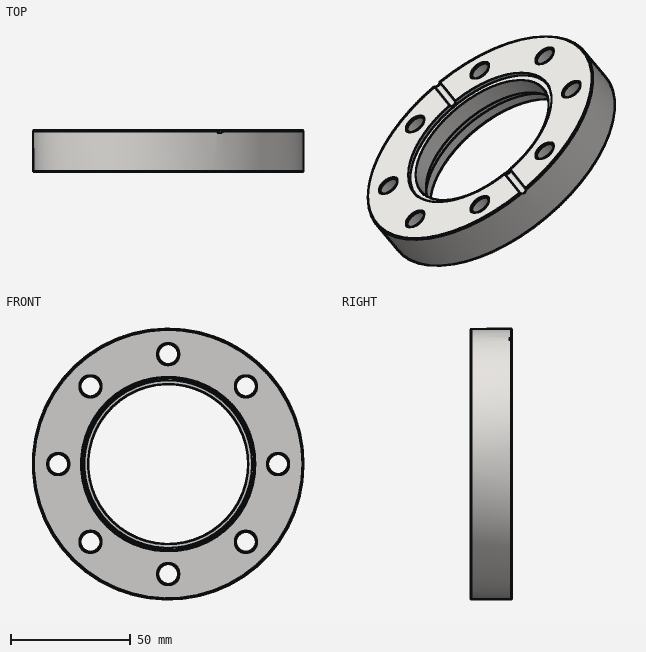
import cadquery as cq
import math

flange_diameter = 113.5
thickness = 17.5
edge_chamfer = 0.5
front_y = -thickness / 2
back_y = thickness / 2

opening_radius = 36.1
opening_chamfer = 0.5
recess_depth = 5.1

counterbore_radius = 35.2
counterbore_depth = 2.8
back_recess_depth = 1.7
bore_radius = 33.5

bolt_count = 8
bolt_circle_radius = 46.1
bolt_hole_radius = 4.2
bolt_hole_chamfer = 0.5

groove_width = 3.0
groove_depth = 1.1
groove_angle = 90 - 180 / bolt_count


def cylinder(radius, start_y, length):
    """Solid cylinder along +Y, starting at start_y."""
    return cq.Workplane("XZ", origin=(0, start_y, 0)).circle(radius).extrude(-length)


def make_bolt_hole(angle):
    """Cutter for one through hole with both rims chamfered."""
    rim_radius = bolt_hole_radius + bolt_hole_chamfer
    profile = (
        cq.Workplane("XY")
        .moveTo(0, front_y)
        .lineTo(rim_radius, front_y)
        .lineTo(bolt_hole_radius, front_y + bolt_hole_chamfer)
        .lineTo(bolt_hole_radius, back_y - bolt_hole_chamfer)
        .lineTo(rim_radius, back_y)
        .lineTo(0, back_y)
        .close()
    )
    hole = profile.revolve(360, (0, 0, 0), (0, 1, 0))
    x = bolt_circle_radius * math.cos(math.radians(angle))
    z = bolt_circle_radius * math.sin(math.radians(angle))
    return hole.translate((x, 0, z))


def make_groove():
    """Cutter for a round-bottomed groove running across the whole back face."""
    half_width = groove_width / 2
    return (
        cq.Workplane("YZ")
        .moveTo(back_y, -half_width)
        .threePointArc((back_y - groove_depth, 0), (back_y, half_width))
        .close()
        .extrude(flange_diameter / 2, both=True)
        .rotate((0, 0, 0), (0, 1, 0), -groove_angle)
    )


def make_outer_ring():
    ring = cylinder(flange_diameter / 2, front_y, thickness)
    ring = ring.faces("<Y or >Y").edges().chamfer(edge_chamfer)
    ring = ring.cut(cylinder(opening_radius, front_y, thickness))
    ring = ring.faces("<Y").edges(cq.selectors.RadiusNthSelector(0)).chamfer(opening_chamfer)
    for index in range(bolt_count):
        ring = ring.cut(make_bolt_hole(index * 360 / bolt_count))
    return ring.cut(make_groove())


def make_insert():
    insert_y = front_y + recess_depth
    insert_length = thickness - recess_depth - back_recess_depth
    insert = cylinder(opening_radius, insert_y, insert_length)
    insert = insert.cut(cylinder(counterbore_radius, insert_y, counterbore_depth))
    return insert.cut(cylinder(bore_radius, insert_y, insert_length))


outer_ring = make_outer_ring()
insert = make_insert()
result = cq.Compound.makeCompound([outer_ring.val(), insert.val()])